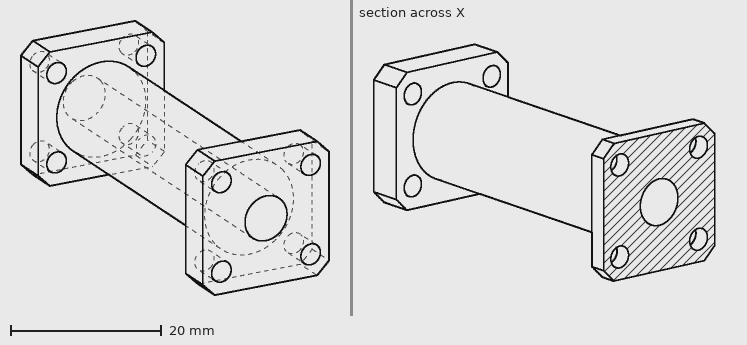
import cadquery as cq

total_length = 50.8
flange_size = 19.05
flange_thickness = 4.8
flange_chamfer = 1.8
tube_diameter = 13.4
bore_diameter = 6.35
bolt_hole_diameter = 2.95
bolt_spacing_y = 13.46
bolt_spacing_z = 12.7


def flange(start_x):
    """Square flange with chamfered corners and four bolt holes, starting at start_x."""
    plate = (
        cq.Workplane("YZ", origin=(start_x, 0, 0))
        .rect(flange_size, flange_size)
        .extrude(flange_thickness)
        .edges("|X")
        .chamfer(flange_chamfer)
    )
    bolt_holes = (
        cq.Workplane("YZ", origin=(start_x, 0, 0))
        .rect(bolt_spacing_y, bolt_spacing_z, forConstruction=True)
        .vertices()
        .circle(bolt_hole_diameter / 2)
        .extrude(flange_thickness)
    )
    return plate.cut(bolt_holes)


def cylinder(start_x, length, diameter):
    """Cylinder on the X axis, starting at start_x."""
    return cq.Workplane("YZ", origin=(start_x, 0, 0)).circle(diameter / 2).extrude(length)


left_end = -total_length / 2
right_flange_start = total_length / 2 - flange_thickness
tube_start = left_end + flange_thickness
tube_length = right_flange_start - tube_start

tube = cylinder(tube_start, tube_length, tube_diameter)
bore = cylinder(left_end, total_length, bore_diameter)

result = tube.union(flange(left_end)).union(flange(right_flange_start)).cut(bore)